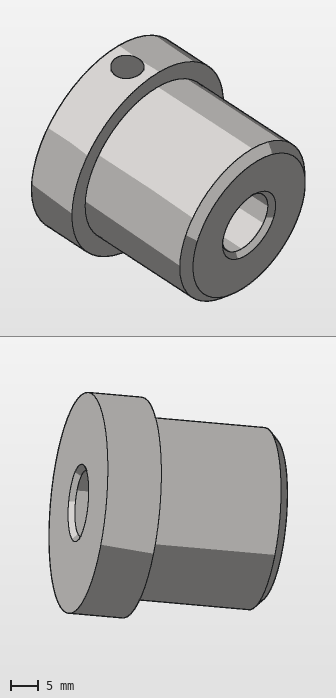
import cadquery as cq
import math

flange_diameter = 40
flange_thickness = 10
total_length = 35.0
body_diameter = 33.0
body_chamfer = 1.7

bore_diameter = 12
bore_chamfer = 1.0

radial_hole_diameter = 6
radial_hole_depth = 10
drill_point_angle = 118


def turned_blank():
    """Flange, body and chamfered through bore, turned about the X axis."""
    flange_radius = flange_diameter / 2
    body_radius = body_diameter / 2
    bore_radius = bore_diameter / 2
    half_section = (
        cq.Workplane("XY")
        .moveTo(0, -bore_radius - bore_chamfer)
        .lineTo(0, -flange_radius)
        .lineTo(flange_thickness, -flange_radius)
        .lineTo(flange_thickness, -body_radius)
        .lineTo(total_length - body_chamfer, -body_radius)
        .lineTo(total_length, -body_radius + body_chamfer)
        .lineTo(total_length, -bore_radius - bore_chamfer)
        .lineTo(total_length - bore_chamfer, -bore_radius)
        .lineTo(bore_chamfer, -bore_radius)
        .close()
    )
    return half_section.revolve(360, (0, 0), (1, 0))


def drill_cutter():
    """Drill shape with a conical point, entering the flange rim from +Z."""
    radius = radial_hole_diameter / 2
    rim_z = flange_diameter / 2
    floor_z = rim_z - radial_hole_depth
    tip_z = floor_z - radius / math.tan(math.radians(drill_point_angle / 2))
    return (
        cq.Workplane("XZ")
        .moveTo(0, tip_z)
        .lineTo(radius, floor_z)
        .lineTo(radius, rim_z)
        .lineTo(0, rim_z)
        .close()
        .revolve(360, (0, 0), (0, 1))
        .translate((flange_thickness / 2, 0, 0))
    )


result = turned_blank().cut(drill_cutter())